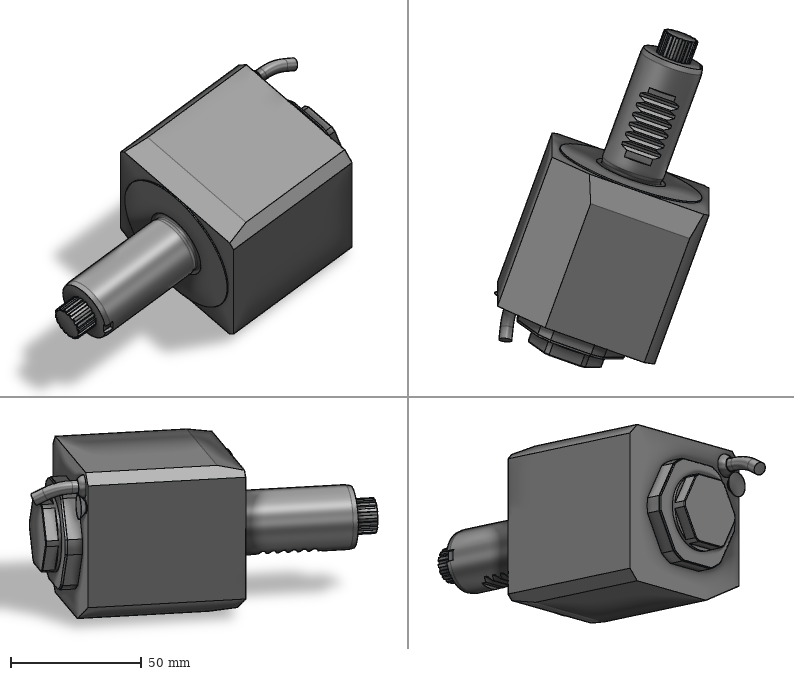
import cadquery as cq
import math


block_width = 64.0
block_height = 62.0
block_length = 62.0
corner_chamfer = 4.2
slant_width = 19.5
slant_height = 9.4
taper_length = 10.3
pad_diameter = 57.9
pad_thickness = 0.5
taper_depth = (block_height - pad_diameter) / 2

shank_diameter = 25.0
neck_diameter = 24.2
neck_end = 1.5
lead_end = 3.0
tip_chamfer_length = 2.1
shank_length = 48.5
face_groove_width = 2.0
key_slot_width = 4.2
key_slot_floor = 10.9
key_slot_length = 3.6

rack_start = 7.7
rack_end = 36.4
rack_flat_height = 11.3
rack_root_height = 9.8
groove_count = 6
groove_pitch = 4.0
first_groove = 12.2
groove_top_width = 3.5
groove_root_width = 1.1

spline_length = 9.0
spline_root_diameter = 12.3
spline_outer_diameter = 13.8
spline_tooth_width = 1.3
spline_teeth = 16
spline_chamfer = 0.3

flange_across_flats = 40.7
flange_diameter = 43.9
flange_length = 5.9
flange_lip_step = 0.3
flange_end = 6.7
collar_diameter = 29.8
collar_end = 8.0
nut_across_flats = 26.8
nut_end = 13.0
nut_chamfer = 0.35

nozzle_x = -24.0
nozzle_z = 24.5
ball_diameter = 9.6
ball_sink = 1.4
ball_flat_height = 2.5
pipe_diameter = 5.0
pipe_straight = 4.9
bend_radius = 20.0
bend_angle = 30.0
bend_heading = 24.0
pipe_tip_length = 4.9

screw_head_diameter = 9.6
screw_overhang = 0.3
screw_x = screw_head_diameter / 2 - block_width / 2 - screw_overhang
screw_z = 17.3
screw_shank_diameter = 5.0
screw_head_top = 2.8
screw_rim = 0.1
screw_depth = 5.6
screw_cone_height = (screw_head_diameter - screw_shank_diameter) / 2


def turned(profile):
    """Revolve a (radius, y) outline about the Y axis."""
    return cq.Workplane("XY").polyline(profile).close().revolve(360, (0, 0, 0), (0, 1, 0))


def disc(diameter, y_start, y_end):
    """Cylinder along Y between two stations."""
    return cq.Workplane("XZ", origin=(0, y_end, 0)).circle(diameter / 2).extrude(y_end - y_start)


def rounded_hexagon(across_flats, diameter, y_start, y_end):
    """Hexagonal prism along Y with flats facing up and down and corners turned to a diameter."""
    corner_diameter = across_flats / math.cos(math.pi / 6)
    prism = cq.Workplane("XZ", origin=(0, y_end, 0)).polygon(6, corner_diameter).extrude(y_end - y_start)
    return prism.intersect(disc(diameter, y_start, y_end))


def make_block():
    x = block_width / 2
    z = block_height / 2
    outline = [
        (-x, slant_height - z),
        (-x, z - corner_chamfer),
        (corner_chamfer - x, z),
        (x - corner_chamfer, z),
        (x, z - corner_chamfer),
        (x, corner_chamfer - z),
        (x - corner_chamfer, -z),
        (slant_width - x, -z),
    ]
    block = cq.Workplane("XZ", origin=(0, block_length, 0)).polyline(outline).close().extrude(block_length)
    side = [
        (0, z - taper_depth),
        (taper_length, z),
        (block_length, z),
        (block_length, -z),
        (taper_length, -z),
        (0, taper_depth - z),
    ]
    tapered_sides = cq.Workplane("YZ").polyline(side).close().extrude(x, both=True)
    return block.intersect(tapered_sides).union(disc(pad_diameter, -pad_thickness, taper_length))


def make_shank():
    profile = [
        (0, taper_length),
        (neck_diameter / 2, taper_length),
        (neck_diameter / 2, -neck_end),
        (shank_diameter / 2, -lead_end),
        (shank_diameter / 2, tip_chamfer_length - shank_length),
        (neck_diameter / 2, -shank_length),
        (0, -shank_length),
    ]
    return turned(profile)


def make_face_groove():
    """Half-round annular groove in the pad, running around the neck of the shank."""
    inner = neck_diameter / 2
    outer = inner + face_groove_width
    bottom = (inner + face_groove_width / 2, face_groove_width / 2 - pad_thickness)
    section = (
        cq.Workplane("XY")
        .moveTo(inner, -pad_thickness)
        .threePointArc(bottom, (outer, -pad_thickness))
        .close()
    )
    return section.revolve(360, (0, 0, 0), (0, 1, 0))


def make_rack_cut():
    """Flat along the underside of the shank with trapezoidal grooves sunk into it."""
    below = -shank_diameter
    profile = [(-rack_start, below), (-rack_start, -rack_flat_height)]
    for i in range(groove_count):
        centre = -(first_groove + i * groove_pitch)
        profile += [
            (centre + groove_top_width / 2, -rack_flat_height),
            (centre + groove_root_width / 2, -rack_root_height),
            (centre - groove_root_width / 2, -rack_root_height),
            (centre - groove_top_width / 2, -rack_flat_height),
        ]
    profile += [(-rack_end, -rack_flat_height), (-rack_end, below)]
    return cq.Workplane("YZ").polyline(profile).close().extrude(shank_diameter, both=True)


def make_key_slot():
    return cq.Workplane("XY").box(
        shank_diameter, key_slot_length, key_slot_width, centered=(False, False, True)
    ).translate((key_slot_floor, -shank_length, 0))


def make_spline():
    end = -shank_length - spline_length
    outer = spline_outer_diameter / 2
    spline = disc(spline_root_diameter, end, -shank_length)
    tooth = cq.Workplane("XY").box(
        outer, spline_length, spline_tooth_width, centered=(False, False, True)
    ).translate((0, end, 0))
    pitch_angle = 360 / spline_teeth
    for i in range(spline_teeth):
        spline = spline.union(tooth.rotate((0, 0, 0), (0, 1, 0), (i + 0.5) * pitch_angle))
    envelope = disc(spline_outer_diameter, end, -shank_length).faces("<Y").chamfer(spline_chamfer)
    return spline.intersect(envelope)


def make_rear_hexagons():
    back = block_length
    flange = rounded_hexagon(flange_across_flats, flange_diameter, back, back + flange_length)
    lip = rounded_hexagon(
        flange_across_flats - 2 * flange_lip_step,
        flange_diameter - 2 * flange_lip_step,
        back + flange_length,
        back + flange_end,
    )
    collar = disc(collar_diameter, back + flange_end, back + collar_end)
    nut = rounded_hexagon(nut_across_flats, collar_diameter, back + collar_end, back + nut_end)
    nut = nut.faces(">Y").chamfer(nut_chamfer)
    return flange.union(lip).union(collar).union(nut)


def make_nozzle():
    """Swivel ball with a flat face, carrying a pipe that bends down and inwards."""
    angle = math.radians(bend_angle)
    ball_centre = block_length - ball_sink
    ball = cq.Workplane("XY").sphere(ball_diameter / 2).translate((0, ball_centre, 0))
    flat = block_length + ball_flat_height
    ball = ball.intersect(disc(ball_diameter, ball_centre - ball_diameter, flat))

    bend_start = block_length + pipe_straight
    bend_end = (bend_start + bend_radius * math.sin(angle), -bend_radius * (1 - math.cos(angle)))
    bend_middle = (
        bend_start + bend_radius * math.sin(angle / 2),
        -bend_radius * (1 - math.cos(angle / 2)),
    )
    path = (
        cq.Workplane("YZ")
        .moveTo(ball_centre, 0)
        .lineTo(bend_start, 0)
        .threePointArc(bend_middle, bend_end)
        .line(pipe_tip_length * math.cos(angle), -pipe_tip_length * math.sin(angle))
    )
    pipe = cq.Workplane("XZ", origin=(0, ball_centre, 0)).circle(pipe_diameter / 2).sweep(path)
    nozzle = ball.union(pipe).rotate((0, 0, 0), (0, 1, 0), -bend_heading)
    return nozzle.translate((nozzle_x, 0, nozzle_z))


def make_screw():
    """Countersunk screw standing slightly proud of the back face."""
    head = screw_head_diameter / 2
    shank = screw_shank_diameter / 2
    rim_bottom = screw_head_top - screw_rim
    profile = [
        (0, -screw_depth),
        (shank, -screw_depth),
        (shank, rim_bottom - screw_cone_height),
        (head, rim_bottom),
        (head, screw_head_top),
        (0, screw_head_top),
    ]
    return turned(profile).translate((screw_x, block_length, screw_z))


def make_housing(nozzle, screw):
    shank = make_shank().cut(make_rack_cut()).cut(make_key_slot())
    housing = make_block().union(shank).cut(make_face_groove())
    housing = housing.union(make_spline()).union(make_rear_hexagons())
    return housing.cut(nozzle).cut(screw)


nozzle = make_nozzle()
screw = make_screw()
housing = make_housing(nozzle, screw)

result = cq.Compound.makeCompound([*housing.solids().vals(), *nozzle.solids().vals(), screw.val()])